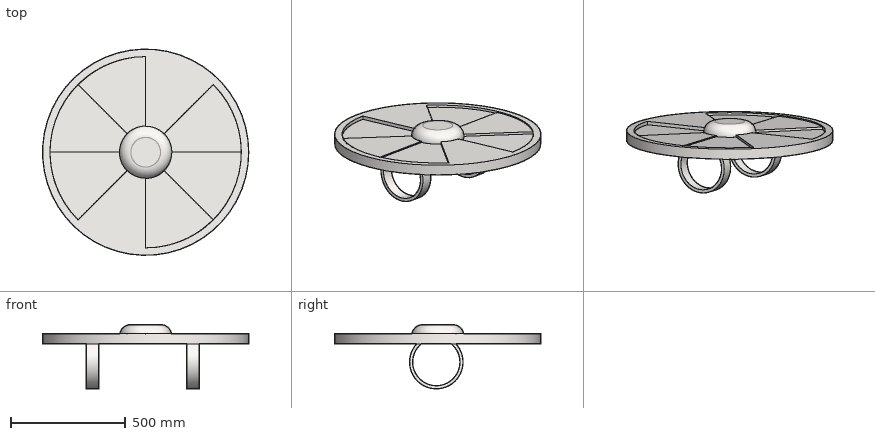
import cadquery as cq
import math

disc_diameter = 902.0
disc_thickness = 45.0

recess_radius = 836.0 / 2
sector_count = 8
sector_angle = 360 / sector_count
depth_step = 5.0
sector_levels = (2, 0, 3, 1)

boss_height = 40.0
boss_flat_radius = 65.0
boss_round_radius = 50.0
boss_radius = boss_flat_radius + boss_round_radius

loop_outer_radius = 117.0
loop_wall = 14.0
loop_drop = 197.0
loop_width = 56.0
loop_starts_x = (-261.0, 178.5)
loop_center_y = -6.0
loop_center_z = loop_outer_radius - loop_drop


def sector_recess(index, depth):
    """Pie-shaped cutter reaching down from the top face of the disc."""
    def rim_point(angle):
        radians = math.radians(angle)
        return recess_radius * math.cos(radians), recess_radius * math.sin(radians)

    start = index * sector_angle
    return (
        cq.Workplane("XY", origin=(0, 0, disc_thickness - depth))
        .lineTo(*rim_point(start))
        .threePointArc(rim_point(start + sector_angle / 2), rim_point(start + sector_angle))
        .close()
        .extrude(depth)
    )


def make_disc():
    disc = cq.Workplane("XY").circle(disc_diameter / 2).extrude(disc_thickness)
    for index in range(sector_count):
        level = sector_levels[index % len(sector_levels)]
        if level:
            disc = disc.cut(sector_recess(index, level * depth_step))
    return disc


def make_boss():
    """Solid of revolution that continues down into the recessed sectors."""
    top_z = disc_thickness + boss_height
    round_center_z = top_z - boss_round_radius
    round_offset = boss_round_radius * math.sqrt(0.5)
    return (
        cq.Workplane("XZ")
        .lineTo(boss_radius, 0)
        .lineTo(boss_radius, round_center_z)
        .threePointArc(
            (boss_flat_radius + round_offset, round_center_z + round_offset),
            (boss_flat_radius, top_z),
        )
        .lineTo(0, top_z)
        .close()
        .revolve(360, (0, 0, 0), (0, 1, 0))
    )


def make_loop(start_x):
    """Ring section trimmed flush with the underside of the disc."""
    ring = (
        cq.Workplane("YZ", origin=(start_x, loop_center_y, loop_center_z))
        .circle(loop_outer_radius)
        .circle(loop_outer_radius - loop_wall)
        .extrude(loop_width)
    )
    below_disc = cq.Workplane("XY").rect(disc_diameter, disc_diameter).extrude(-loop_drop)
    return ring.intersect(below_disc)


result = make_disc().union(make_boss())
for loop_start_x in loop_starts_x:
    result = result.union(make_loop(loop_start_x))